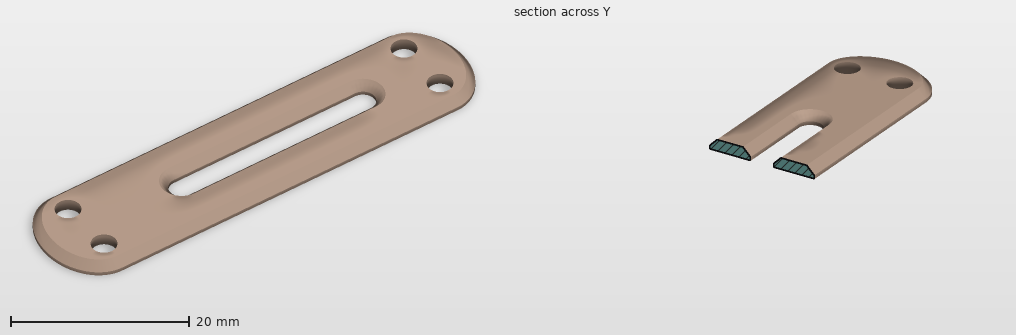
import cadquery as cq

length = 57
width = 14.0
thickness = 1.5
straight_length = 46.15
bevel = 1.0

hole_diameter = 3.0
hole_spacing_x = width / 2
hole_spacing_y = straight_length

slot_width = 3.0
slot_length = 27.95
slot_center_y = 2.5


def plate():
    """Long plate with half-elliptical ends and a beveled upper edge."""
    x = width / 2
    y = straight_length / 2
    end_height = length / 2 - y
    outline = (
        cq.Workplane("XY")
        .moveTo(x, -y)
        .lineTo(x, y)
        .ellipseArc(x, end_height, 0, 180)
        .lineTo(-x, -y)
        .ellipseArc(x, end_height, 180, 360)
        .close()
    )
    return outline.extrude(thickness).faces(">Z").edges().chamfer(bevel)


def slot_cutter():
    """Through slot widened by a bevel at the upper face."""
    slot = (
        cq.Workplane("XY")
        .center(0, slot_center_y)
        .slot2D(slot_length, slot_width, 90)
        .extrude(thickness)
    )
    flare = (
        cq.Workplane("XY")
        .workplane(offset=thickness)
        .center(0, slot_center_y)
        .slot2D(slot_length + 2 * bevel, slot_width + 2 * bevel, 90)
        .extrude(-bevel, taper=45)
    )
    return slot.union(flare)


def hole_cutters():
    """Four plain through holes, two at each end."""
    return (
        cq.Workplane("XY")
        .rarray(hole_spacing_x, hole_spacing_y, 2, 2)
        .circle(hole_diameter / 2)
        .extrude(thickness)
    )


result = plate().cut(slot_cutter()).cut(hole_cutters())